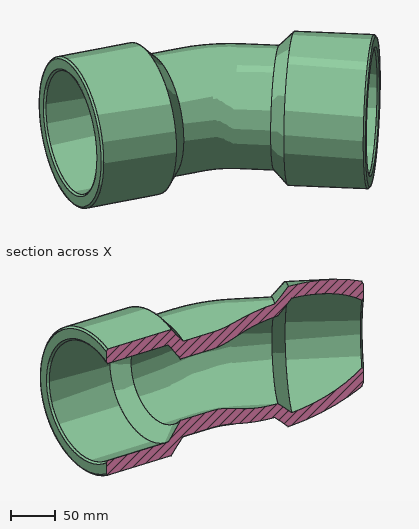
import cadquery as cq
import math

bend_angle = 30.0
bend_radius = 105.5
leg_length = 149.5

socket_diameter = 173.0
neck_diameter = 140.0
socket_length = 91.5
shoulder_length = (socket_diameter - neck_diameter) / 2
rim_chamfer = 2.2

bore_diameter = 107.0
socket_bore_diameter = 141.0
socket_bore_depth = 87.0
bore_taper_length = (socket_bore_diameter - bore_diameter) / 2
mouth_chamfer = 2.2


def revolve_along_y(points):
    """Revolve a closed (radius, y) profile around the Y axis."""
    return cq.Workplane("XY").polyline(points).close().revolve(360, (0, 0), (0, 1))


def leg_outside():
    """Socket, shoulder and neck, with the open rim at y = 0."""
    socket_radius = socket_diameter / 2
    neck_radius = neck_diameter / 2
    return revolve_along_y([
        (0, 0),
        (socket_radius - rim_chamfer, 0),
        (socket_radius, rim_chamfer),
        (socket_radius, socket_length),
        (neck_radius, socket_length + shoulder_length),
        (neck_radius, leg_length),
        (0, leg_length),
    ])


def leg_inside():
    """Chamfered pipe socket tapering down to the through bore."""
    socket_radius = socket_bore_diameter / 2
    bore_radius = bore_diameter / 2
    return revolve_along_y([
        (0, 0),
        (socket_radius + mouth_chamfer, 0),
        (socket_radius, mouth_chamfer),
        (socket_radius, socket_bore_depth),
        (bore_radius, socket_bore_depth + bore_taper_length),
        (bore_radius, leg_length),
        (0, leg_length),
    ])


def bend(diameter):
    """Round bar swept from the end of the first leg towards +X."""
    return (
        cq.Workplane("XZ", origin=(0, leg_length, 0))
        .circle(diameter / 2)
        .revolve(bend_angle, (bend_radius, 0), (bend_radius, -1))
    )


def at_far_end(leg):
    """Turn a leg around and place it on the far end of the bend."""
    angle = math.radians(bend_angle)
    rim_x = bend_radius * (1 - math.cos(angle)) + leg_length * math.sin(angle)
    rim_y = leg_length + bend_radius * math.sin(angle) + leg_length * math.cos(angle)
    return leg.rotate((0, 0, 0), (0, 0, 1), 180 - bend_angle).translate((rim_x, rim_y, 0))


def elbow(leg, diameter):
    """Join two equal legs through the bend."""
    return leg.union(bend(diameter)).union(at_far_end(leg))


outside = elbow(leg_outside(), neck_diameter)
inside = elbow(leg_inside(), bore_diameter)
result = outside.cut(inside)